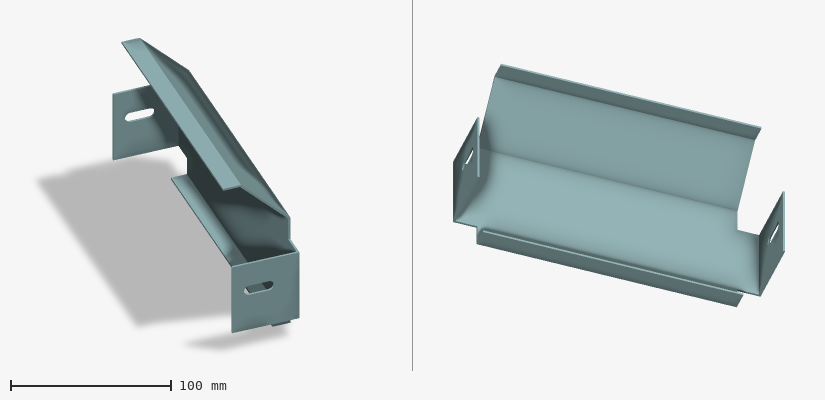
import cadquery as cq
import math

length = 204.0
depth = 45.0
height = 113.0
sheet = 1.5

panel_length = 172.5
lower_flange = 12.0
upper_lip = 12.0
slope_run = depth - upper_lip
slope_angle = 45.0
slope_rise = slope_run * math.tan(math.radians(slope_angle))
slope_start = height - slope_rise
bend_shift = sheet * math.tan(math.radians(slope_angle / 2))

tab_height = 50.0
tab_bottom = 13.7
slot_length = 20.0
slot_width = 7.0
slot_from_front = 18.0
slot_height = 43.5


def long_panel():
    """Folded profile in the YZ plane, with the back face at Y = depth."""
    profile = [
        (depth - lower_flange, 0),
        (depth, 0),
        (depth, slope_start),
        (upper_lip, height),
        (0, height),
        (0, height - sheet),
        (upper_lip - bend_shift, height - sheet),
        (depth - sheet, slope_start - bend_shift),
        (depth - sheet, sheet),
        (depth - lower_flange, sheet),
    ]
    return cq.Workplane("YZ").polyline(profile).close().extrude(panel_length / 2, both=True)


def end_tabs():
    """U-shaped band: the back strip and a forward-bent tab at each end."""
    band = cq.Workplane("XY").box(length, depth, tab_height, centered=(True, False, False))
    opening = cq.Workplane("XY").box(
        length - 2 * sheet, depth - sheet, tab_height, centered=(True, False, False)
    )
    return band.cut(opening).translate((0, 0, tab_bottom))


def mounting_slots():
    """Slot cutter passing through both end tabs."""
    return (
        cq.Workplane("YZ")
        .center(slot_from_front, slot_height)
        .slot2D(slot_length, slot_width)
        .extrude(length, both=True)
    )


result = long_panel().union(end_tabs()).cut(mounting_slots())